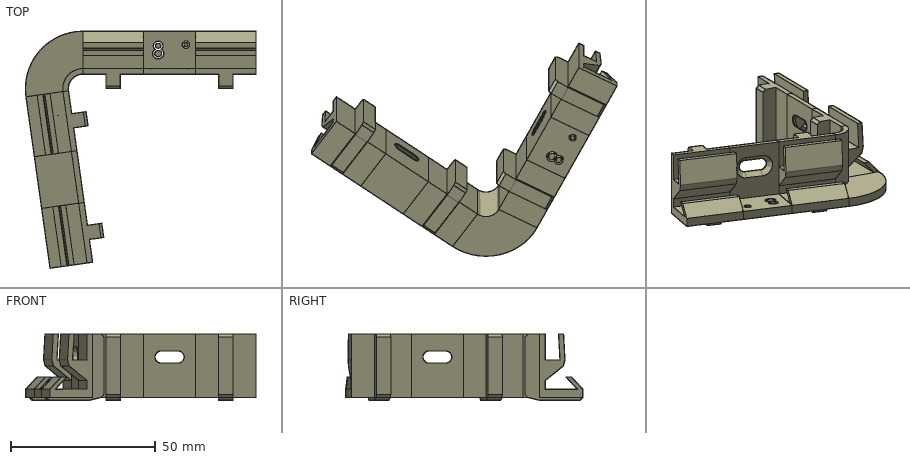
import cadquery as cq
import math

overall_length = 82.2
arm_angle = 82.0
outer_radius = 20.0
floor_width = 15.0
floor_thickness = 3.0
wall_thickness = 2.0
wall_height = 22.0
plate_length = 18.1

lip_rise = 4.2
lip_lean = 3.95
lip_thickness = 2.0
jaw_thickness = 1.8
jaw_top_distance = 6.7
jaw_bulge_distance = 6.2
jaw_bulge_height = 13.15
jaw_step_height = 13.1
jaw_knee_distance = 6.75
jaw_knee_height = 10.9
jaw_root_height = 5.9

rib_width = 5.0
rib_reach = 5.0
rib_drop = 1.0
rib_chamfer = 1.0

slot_length = 10.0
slot_height = 4.1
slot_center_height = 14.1
countersink = 1.65

loose_cores = [
    (-3.95, 5.1, 2.0, 1.7, 0.65),
    (-3.95, 7.8, 2.5, 2.2, 0.65),
    (5.7, 4.7, 1.5, 1.5, 0.5),
]

turn_angle = 180.0 - arm_angle
tilt = math.radians(turn_angle - 90.0)
arm_length = (overall_length - outer_radius * (1 + math.sin(tilt))) / math.cos(tilt)
clip_length = (arm_length - plate_length) / 2
near_clip_middle = clip_length / 2
plate_middle = clip_length + plate_length / 2
far_clip_middle = arm_length - clip_length / 2
inner_radius = outer_radius - floor_width
wall_face_distance = floor_width - wall_thickness


def extrude_section(points, length):
    """Extrude (distance from outer edge, height) points along X, centred on X = 0."""
    outline = [(outer_radius - distance, height) for distance, height in points]
    return cq.Workplane("YZ").polyline(outline).close().extrude(length / 2, both=True)


def rail_points():
    """L-shaped section of floor and wall."""
    return [
        (0, 0),
        (floor_width, 0),
        (floor_width, wall_height),
        (wall_face_distance, wall_height),
        (wall_face_distance, floor_thickness),
        (0, floor_thickness),
    ]


def place_on_straight_arm(body, distance):
    """Move a body, built around X = 0, to a distance along the straight arm."""
    return body.translate((distance, 0, 0))


def place_on_turned_arm(body, distance):
    """Move a body, built around X = 0, to a distance along the turned arm."""
    return body.translate((-distance, 0, 0)).rotate((0, 0, 0), (0, 0, 1), turn_angle)


def make_corner():
    outline = [(outer_radius - distance, height) for distance, height in rail_points()]
    section = cq.Workplane("YZ").polyline(outline).close()
    return section.revolve(turn_angle, (0, 0, 0), (0, 1, 0))


def make_lip():
    lip_top = floor_thickness + lip_rise
    return extrude_section(
        [
            (0, floor_thickness),
            (lip_lean, lip_top),
            (lip_lean + lip_thickness, lip_top),
            (lip_thickness, floor_thickness),
        ],
        clip_length,
    )


def make_jaw():
    return extrude_section(
        [
            (wall_face_distance, jaw_root_height),
            (jaw_knee_distance, jaw_knee_height),
            (jaw_bulge_distance, jaw_bulge_height),
            (jaw_top_distance, wall_height),
            (jaw_top_distance + jaw_thickness, wall_height),
            (jaw_bulge_distance + jaw_thickness, jaw_step_height),
            (wall_face_distance, jaw_step_height),
        ],
        clip_length,
    )


def make_rib():
    rib_end = floor_width + rib_reach
    return extrude_section(
        [
            (0, 0),
            (rib_chamfer, -rib_drop),
            (floor_width, -rib_drop),
            (rib_end - rib_chamfer, 0),
            (rib_end, rib_chamfer),
            (rib_end, wall_height - rib_chamfer),
            (rib_end - rib_chamfer, wall_height),
            (floor_width, wall_height),
            (floor_width, 0),
        ],
        rib_width,
    )


def make_clip():
    rail = extrude_section(rail_points(), clip_length)
    return rail.union(make_lip()).union(make_jaw()).union(make_rib())


def make_slot_cutter():
    inner_face = cq.Workplane("XZ", origin=(0, inner_radius, slot_center_height))
    slot = inner_face.slot2D(slot_length, slot_height).extrude(-wall_thickness)
    outer_face = cq.Workplane("XZ", origin=(0, inner_radius + wall_thickness, slot_center_height))
    flare = (
        outer_face.slot2D(slot_length + 2 * countersink, slot_height + 2 * countersink)
        .extrude(countersink, taper=45)
    )
    return slot.union(flare)


def make_plate():
    return extrude_section(rail_points(), plate_length).cut(make_slot_cutter())


def make_core_column(core, margin):
    """Oval column through the floor, widened on every side by the margin."""
    offset, distance, length_x, length_y, _ = core
    return (
        cq.Workplane("XY", origin=(offset, outer_radius - distance, 0))
        .ellipse(length_x / 2 + margin, length_y / 2 + margin)
        .extrude(floor_thickness)
    )


def make_cores():
    return [make_core_column(core, 0) for core in loose_cores]


def make_channelled_plate():
    plate = make_plate()
    for core in loose_cores:
        channel_width = core[-1]
        plate = plate.cut(make_core_column(core, channel_width))
    return plate


corner = make_corner()
straight_plate = place_on_straight_arm(make_channelled_plate(), plate_middle)
turned_plate = place_on_turned_arm(make_plate(), plate_middle)
cores = [place_on_straight_arm(core, plate_middle) for core in make_cores()]

clips = []
for clip_middle in (near_clip_middle, far_clip_middle):
    clips.append(place_on_straight_arm(make_clip(), clip_middle))
    clips.append(place_on_turned_arm(make_clip(), clip_middle))

bodies = [corner, straight_plate, turned_plate] + clips + cores
result = cq.Compound.makeCompound([body.val() for body in bodies])